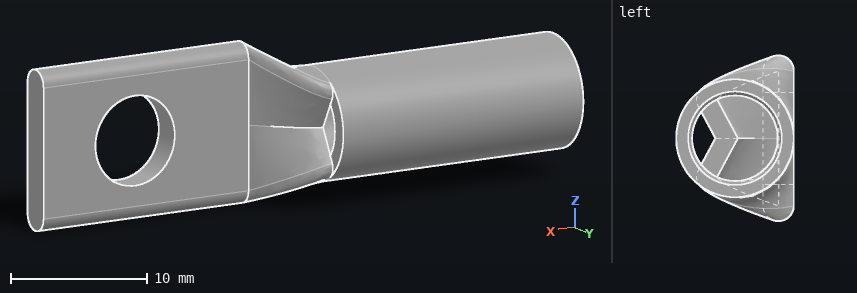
import cadquery as cq
import math

LENGTH = 42.4
BARREL_LENGTH = 20.57
PALM_START = 24.85
BARREL_RADIUS = 4.33
BORE_RADIUS = 3.15
MOUTH_CHAMFER = 0.3

PALM_WIDTH = 12.17
PALM_THICKNESS = 2.3
HOLE_DIAMETER = 6.8
HOLE_X = 34.57

FOLD_RADIUS = 0.9
FOLD_CENTER_Y = 1.95
CAVITY_APEX_Y = -0.2
CAVITY_TIP_Y = 1.3
SLIT_GAP = 0.1

STATIONS = (0.0, 0.25, 0.5, 0.75, 1.0)
DROP_POWER = 1.8
SPREAD_POWER = 1.3

BACK_Y = -BARREL_RADIUS
PALM_EDGE_RADIUS = PALM_THICKNESS / 2
PALM_MID_Y = BACK_Y + PALM_EDGE_RADIUS
PALM_EDGE_Z = PALM_WIDTH / 2 - PALM_EDGE_RADIUS
FOLD_CENTER_Z = math.sqrt((BARREL_RADIUS - FOLD_RADIUS) ** 2 - FOLD_CENTER_Y**2)
CAVITY_TIP_Z = math.sqrt(BORE_RADIUS**2 - CAVITY_TIP_Y**2)


def mix(start, end, fraction):
    return start + (end - start) * fraction


def section_plane(travel):
    """YZ plane at a fraction of the way from barrel (0) to palm (1)."""
    return cq.Workplane("YZ", origin=(mix(BARREL_LENGTH, PALM_START, travel), 0, 0))


def outer_section(travel):
    """Arched back, two rounded folds and a V-shaped front."""
    drop = travel**DROP_POWER
    spread = travel**SPREAD_POWER
    radius = mix(FOLD_RADIUS, PALM_EDGE_RADIUS, drop)
    center_y = mix(FOLD_CENTER_Y, PALM_MID_Y, drop)
    center_z = mix(FOLD_CENTER_Z, PALM_EDGE_Z, spread)
    lean = mix(math.atan2(CAVITY_TIP_Y - CAVITY_APEX_Y, CAVITY_TIP_Z), 0, drop)

    def fold_point(angle, side):
        return (center_y + radius * math.cos(angle), side * (center_z + radius * math.sin(angle)))

    front_angle = -lean
    front_y, front_z = fold_point(front_angle, 1)
    apex = (front_y - front_z * math.tan(lean), 0)

    rise = center_y - BACK_Y
    flat = math.isclose(rise, radius)
    if flat:
        back_angle = math.pi
    else:
        back_radius = (rise**2 + center_z**2 - radius**2) / (2 * (rise - radius))
        back_angle = math.atan2(center_z, rise - back_radius)
    middle_angle = (front_angle + back_angle) / 2

    outline = section_plane(travel).moveTo(*apex).lineTo(front_y, front_z)
    outline = outline.threePointArc(fold_point(middle_angle, 1), fold_point(back_angle, 1))
    if flat:
        outline = outline.lineTo(*fold_point(back_angle, -1))
    else:
        outline = outline.threePointArc((BACK_Y, 0), fold_point(back_angle, -1))
    outline = outline.threePointArc(fold_point(middle_angle, -1), fold_point(front_angle, -1))
    return outline.close().val()


def cavity_section(travel):
    """V-fronted bore that closes to a thin slit at the palm."""
    drop = travel**DROP_POWER
    spread = travel**SPREAD_POWER
    apex_y = mix(CAVITY_APEX_Y, PALM_MID_Y + SLIT_GAP / 2, drop)
    tip_y = mix(CAVITY_TIP_Y, PALM_MID_Y, drop)
    tip_z = mix(CAVITY_TIP_Z, PALM_EDGE_Z, spread)
    back_y = mix(-BORE_RADIUS, PALM_MID_Y - SLIT_GAP / 2, drop)
    outline = section_plane(travel).moveTo(apex_y, 0).lineTo(tip_y, tip_z)
    return outline.threePointArc((back_y, 0), (tip_y, -tip_z)).close().val()


def loft_along(section):
    return cq.Workplane(cq.Solid.makeLoft([section(travel) for travel in STATIONS]))


def make_barrel():
    ring = cq.Workplane("YZ").circle(BARREL_RADIUS).circle(BORE_RADIUS).extrude(BARREL_LENGTH)
    mouth = cq.Workplane(
        cq.Solid.makeCone(
            BORE_RADIUS + MOUTH_CHAMFER, BORE_RADIUS, MOUTH_CHAMFER, cq.Vector(), cq.Vector(1, 0, 0)
        )
    )
    return ring.cut(mouth)


def make_palm():
    palm_length = LENGTH - PALM_START
    outline = cq.Workplane("YZ", origin=(PALM_START, PALM_MID_Y, 0))
    rounded = outline.slot2D(PALM_WIDTH, PALM_THICKNESS, 90).extrude(palm_length)
    hole = cq.Workplane("XZ", origin=(HOLE_X, 0, 0)).circle(HOLE_DIAMETER / 2)
    return rounded.cut(hole.extrude(BARREL_RADIUS))


transition = loft_along(outer_section).cut(loft_along(cavity_section))
result = make_barrel().union(transition).union(make_palm())